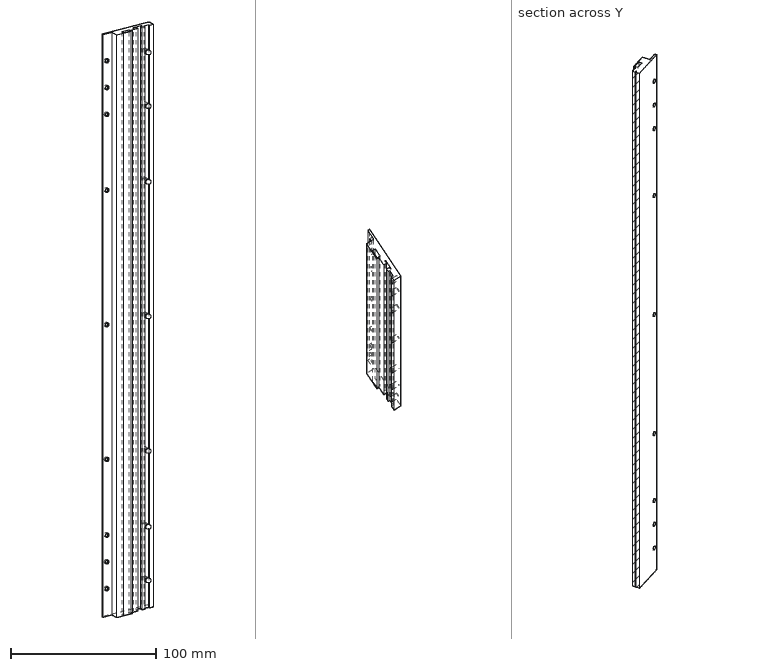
import cadquery as cq

length = 433.0
width = 39.5
thickness = 7.5

flange_thickness = 1.5
flange_width = 7.5
rail_height = 5.5
step_y = 20.5
channel_floor = 4.5
channel_low_y = 32.0
channel_high_y = 36.0

slot_floor = 2.8
slot_low_y = 24.2
slot_high_y = 31.0
lip_thickness = 2.4
mouth_low_y = 26.5
mouth_high_y = 30.0

duct_width = 6.0
duct_wall = 0.65
duct_floor = 4.5

flange_hole_diameter = 3.0
flange_hole_y = 3.5
body_hole_diameter = 3.4
body_hole_y = 35.5
inner_offset = 100.0
outer_offset = 196.0
end_pitch = 20.0
middle_offset = outer_offset - end_pitch
near_offset = middle_offset - end_pitch


def bar(x_low, x_high, y_low, y_high):
    """Full-length rectangular bar between the given X and Y limits."""
    return cq.Workplane("XY").box(
        x_high - x_low, y_high - y_low, length, centered=False
    ).translate((x_low, y_low, 0))


def drill_row(y, diameter, offsets):
    """Cylinders along X at mid length and at each offset either side of it."""
    middle = length / 2
    heights = [middle]
    for offset in offsets:
        heights += [middle - offset, middle + offset]
    points = [(y, z) for z in heights]
    return cq.Workplane("YZ").pushPoints(points).circle(diameter / 2).extrude(thickness)


def profile_body():
    """Flange, full-thickness body, rails and shallow channel in one extrusion."""
    outline = [
        (0, 0),
        (flange_thickness, 0),
        (flange_thickness, flange_width),
        (thickness, flange_width),
        (thickness, step_y),
        (rail_height, step_y),
        (rail_height, channel_low_y),
        (channel_floor, channel_low_y),
        (channel_floor, channel_high_y),
        (rail_height, channel_high_y),
        (rail_height, width),
        (0, width),
    ]
    return cq.Workplane("XY").polyline(outline).close().extrude(length)


undercut = bar(slot_floor, rail_height - lip_thickness, slot_low_y, slot_high_y)
mouth = bar(slot_floor, rail_height, mouth_low_y, mouth_high_y)
duct_high_y = step_y - duct_wall
duct = bar(duct_floor, thickness - duct_wall, duct_high_y - duct_width, duct_high_y)

flange_holes = drill_row(
    flange_hole_y, flange_hole_diameter,
    [inner_offset, near_offset, middle_offset, outer_offset],
)
body_holes = drill_row(
    body_hole_y, body_hole_diameter, [inner_offset, near_offset, outer_offset]
)

result = profile_body().cut(undercut).cut(mouth).cut(duct)
result = result.cut(flange_holes).cut(body_holes)